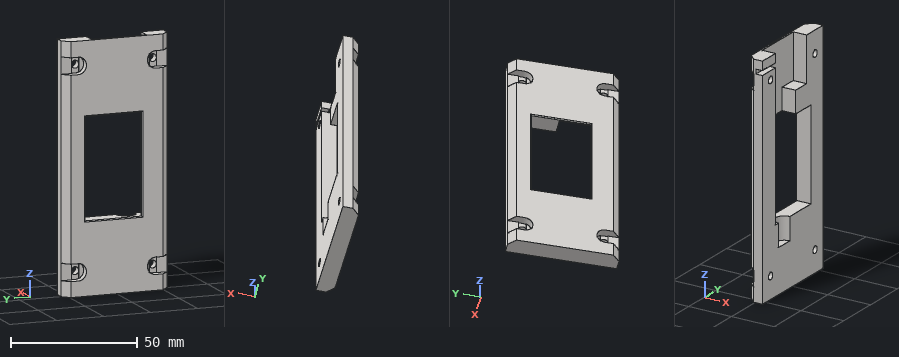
import cadquery as cq

thickness = 7.2
width = 45.2
height = 104.0
edge_chamfer = 3.0
front_skin = 0.9

window_y_min = -10.6
window_y_max = 13.5
window_z_min = -21.3
window_z_max = 21.0
window_bevel = 0.4

cavity_y_min = -12.9
cavity_y_step = 2.0
cavity_y_max = 10.2
ledge_z = 31.2

screw_y = 16.5
screw_z = 41.9
hole_diameter = 3.1
seat_diameter = 7.1
seat_depth = edge_chamfer
relief_depth = 0.3

groove_depth = 3.1
groove_height = 2.1
groove_z_min = 45.9
channel_radius = 4.2
channel_y = -6.5
channel_length = 10.4


def box(x_range, y_range, z_range):
    """Return a block spanning the given (low, high) ranges."""
    ranges = (x_range, y_range, z_range)
    sizes = [high - low for low, high in ranges]
    corner = tuple(low for low, high in ranges)
    return cq.Workplane("XY").box(*sizes, centered=False).translate(corner)


def plate():
    """Return the plate with its two long front edges chamfered."""
    blank = box((0, thickness), (-width / 2, width / 2), (-height / 2, height / 2))
    return blank.faces("<X").edges("|Z").chamfer(edge_chamfer)


def window():
    """Return the window opening, flared where it meets the front face."""
    y_size = window_y_max - window_y_min
    z_size = window_z_max - window_z_min
    opening = box((0, thickness), (window_y_min, window_y_max), (window_z_min, window_z_max))
    flare = (
        cq.Workplane("YZ")
        .center((window_y_min + window_y_max) / 2, (window_z_min + window_z_max) / 2)
        .rect(y_size + 2 * window_bevel, z_size + 2 * window_bevel)
        .workplane(offset=window_bevel)
        .rect(y_size, z_size)
        .loft(ruled=True)
    )
    return opening.union(flare)


def cavity():
    """Return the deep bay reaching the window floor and the shallower bay beside it."""
    depth = (front_skin, thickness)
    deep_bay = box(depth, (cavity_y_min, cavity_y_step), (window_z_min, height / 2))
    shallow_bay = box(depth, (cavity_y_step, cavity_y_max), (ledge_z, height / 2))
    return deep_bay.union(shallow_bay)


def screw_seat(side, z):
    """Return a screw hole with a seat open to the side edge; side is +1 or -1 along Y."""
    center_y = side * screw_y
    radius = seat_diameter / 2
    y_range = sorted((center_y, side * width / 2))
    run_out = box((0, seat_depth), y_range, (z - radius, z + radius))
    axis = cq.Workplane("YZ").center(center_y, z)
    seat = axis.circle(radius).extrude(seat_depth).union(run_out)
    hole = axis.circle(hole_diameter / 2).extrude(thickness)
    band = axis.rect(hole_diameter, seat_diameter).extrude(seat_depth + relief_depth)
    relief = band.intersect(seat.translate((relief_depth, 0, 0)))
    return seat.union(hole).union(relief)


def side_groove():
    """Return the groove from the -Y edge into the cavity."""
    return box(
        (thickness - groove_depth, thickness),
        (-width / 2, cavity_y_min),
        (groove_z_min, groove_z_min + groove_height),
    )


def cable_channel():
    """Return the half-round channel in the back face, running down from the window."""
    return (
        cq.Workplane("XY", origin=(thickness, channel_y, window_z_min))
        .circle(channel_radius)
        .extrude(-channel_length)
    )


result = plate().cut(window()).cut(cavity()).cut(side_groove()).cut(cable_channel())
for side in (-1, 1):
    for z in (-screw_z, screw_z):
        result = result.cut(screw_seat(side, z))